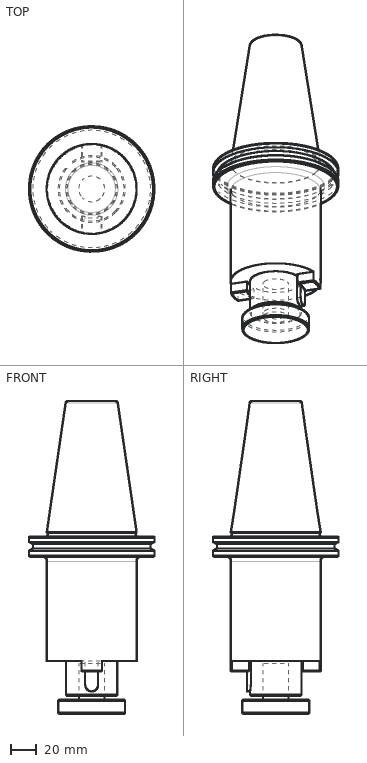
import cadquery as cq
import math


overall_length = 242.75

gauge_dia = 69.85
taper_length = 101.75
taper_ratio = 7 / 24
taper_tip_dia = gauge_dia - taper_ratio * taper_length
tip_fillet = 2.0

relief_depth = 0.7
relief_arc_radius = 0.7

flange_dia = 97.5
flange_top_z = -3.2
flange_bottom_z = -19.1
rim_reach = 1.15
rim_far = 0.65
rim_near = 0.22

groove_mid_z = -11.0
groove_floor_dia = 91.25
groove_floor_width = 3.4
groove_side_angle = 30.0

shank_dia = 70.0
shank_end_z = -100.0
neck_arc_radius = 3.0
neck_undercut = 0.1

pilot_dia = 40.0
pilot_length = 27.0
pilot_chamfer = 1.0
pilot_end_z = shank_end_z - pilot_length

tenon_width = 16.0
tenon_height = 8.0
tenon_inner_y = 20.8
tenon_chamfer = 0.7

key_width = 10.0
key_reach = 23.5
key_outer_y = 22.4
key_inner_y = 18.0

screw_dia = 20.0
screw_insertion = 25.0
head_dia = 52.0
head_gap = 3.0
head_chamfer = 1.0
screw_end_z = taper_length - overall_length
head_top_z = pilot_end_z - head_gap


def make_body():
    """Taper, flange and shank, turned about Z from one outline of (radius, z) points."""
    gauge_radius = gauge_dia / 2
    relief_radius = gauge_radius - relief_depth
    flange_radius = flange_dia / 2
    shank_radius = shank_dia / 2

    floor_radius = groove_floor_dia / 2
    floor_half = groove_floor_width / 2
    groove_depth = flange_radius - floor_radius
    mouth_half = floor_half + groove_depth * math.tan(math.radians(groove_side_angle))

    neck_centre_r = shank_radius - neck_undercut + neck_arc_radius
    neck_centre_z = flange_bottom_z - neck_arc_radius
    neck_overshoot = math.sqrt(neck_arc_radius**2 - (neck_arc_radius - neck_undercut) ** 2)
    neck_mid_offset = neck_arc_radius * math.sqrt(0.5)

    relief_arc_offset = relief_arc_radius * (1 - math.sqrt(0.5))

    outline = (
        cq.Workplane("XZ")
        .moveTo(0, taper_length)
        .lineTo(taper_tip_dia / 2, taper_length)
        .lineTo(gauge_radius, 0)
        .lineTo(relief_radius, -relief_depth)
        .lineTo(relief_radius, flange_top_z + relief_arc_radius)
        .threePointArc(
            (relief_radius + relief_arc_offset, flange_top_z + relief_arc_offset),
            (relief_radius + relief_arc_radius, flange_top_z),
        )
        .lineTo(flange_radius - rim_reach, flange_top_z)
        .lineTo(flange_radius - rim_far, flange_top_z - rim_near)
        .lineTo(flange_radius - rim_near, flange_top_z - rim_far)
        .lineTo(flange_radius, flange_top_z - rim_reach)
        .lineTo(flange_radius, groove_mid_z + mouth_half)
        .lineTo(floor_radius, groove_mid_z + floor_half)
        .lineTo(floor_radius, groove_mid_z - floor_half)
        .lineTo(flange_radius, groove_mid_z - mouth_half)
        .lineTo(flange_radius, flange_bottom_z + rim_reach)
        .lineTo(flange_radius - rim_near, flange_bottom_z + rim_far)
        .lineTo(flange_radius - rim_far, flange_bottom_z + rim_near)
        .lineTo(flange_radius - rim_reach, flange_bottom_z)
        .lineTo(neck_centre_r, flange_bottom_z)
        .threePointArc(
            (neck_centre_r - neck_mid_offset, neck_centre_z + neck_mid_offset),
            (shank_radius, neck_centre_z - neck_overshoot),
        )
        .lineTo(shank_radius, shank_end_z)
        .lineTo(0, shank_end_z)
        .close()
    )
    body = outline.revolve(360, (0, 0), (0, 1))
    return body.faces(">Z").edges().fillet(tip_fillet)


def make_pilot():
    """Cylinder below the shank with a chamfered lower edge."""
    pilot = cq.Workplane("XY").workplane(offset=pilot_end_z).circle(pilot_dia / 2).extrude(pilot_length)
    return pilot.faces("<Z").edges().chamfer(pilot_chamfer)


def make_tenon(side):
    """Tenon on the -Y (side = -1) or +Y (side = 1) half of the shank end."""
    radial_depth = shank_dia / 2 - tenon_inner_y
    bottom = cq.Workplane("XY").workplane(offset=shank_end_z - tenon_height)
    block = bottom.center(0, side * (tenon_inner_y + radial_depth / 2))
    block = block.rect(tenon_width, radial_depth).extrude(tenon_height)
    tenon = block.intersect(bottom.circle(shank_dia / 2).extrude(tenon_height))
    return tenon.faces("<Z").edges().chamfer(tenon_chamfer)


def make_key():
    """Key running down from the shank end to a rounded lower end."""
    half_width = key_width / 2
    straight_end_z = shank_end_z - key_reach + half_width
    outline = (
        cq.Workplane("XZ", origin=(0, -key_inner_y, 0))
        .moveTo(-half_width, shank_end_z)
        .lineTo(-half_width, straight_end_z)
        .threePointArc((0, shank_end_z - key_reach), (half_width, straight_end_z))
        .lineTo(half_width, shank_end_z)
        .close()
    )
    return outline.extrude(key_outer_y - key_inner_y)


def make_screw_shank():
    """Screw shank, also used to cut its hole in the holder."""
    length = head_gap + screw_insertion
    return cq.Workplane("XY").workplane(offset=head_top_z).circle(screw_dia / 2).extrude(length)


def make_holder():
    """One solid with its taper, flange, shank, pilot, tenons, key and screw hole."""
    holder = make_body().union(make_pilot())
    for side in (-1, 1):
        holder = holder.union(make_tenon(side))
    return holder.union(make_key()).cut(make_screw_shank())


def make_screw():
    """Clamping screw with a wide chamfered head."""
    head_height = head_top_z - screw_end_z
    head = cq.Workplane("XY").workplane(offset=screw_end_z).circle(head_dia / 2).extrude(head_height)
    head = head.faces("<Z or >Z").edges().chamfer(head_chamfer)
    return head.union(make_screw_shank())


holder = make_holder()
screw = make_screw()

result = cq.Compound.makeCompound([holder.solids().val(), screw.solids().val()])